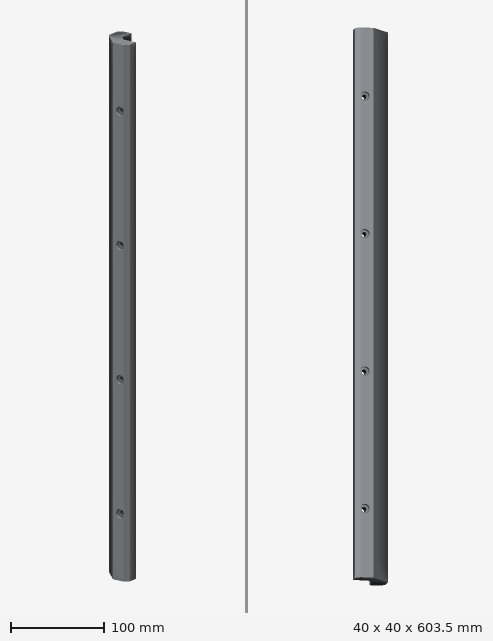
import cadquery as cq

length = 603.5
width = 40.0

arm_thickness = 16.0
outer_bevel = 20.5
edge_chamfer = 5.0
inner_chamfer = 6.5

hole_count = 4
hole_pitch = length / hole_count
hole_offset = 30.0
hole_diameter = 5.5
bore_diameter = 10.0
bore_depth = 3.5


def angle_bar():
    """Extrude the L section, which is symmetric about its X = Y diagonal."""
    inner_end = arm_thickness + inner_chamfer
    chamfer_start = width - edge_chamfer
    points = [
        (outer_bevel, 0),
        (chamfer_start, 0),
        (width, edge_chamfer),
        (width, arm_thickness),
        (inner_end, arm_thickness),
        (arm_thickness, inner_end),
        (arm_thickness, width),
        (edge_chamfer, width),
        (0, chamfer_start),
        (0, outer_bevel),
    ]
    return cq.Workplane("XY").polyline(points).close().extrude(length)


def screw_hole(center, direction):
    """Make the cutter for one hole, entering the arm from its outer face."""
    bore = cq.Solid.makeCylinder(bore_diameter / 2, bore_depth, center, direction)
    hole = cq.Solid.makeCylinder(hole_diameter / 2, arm_thickness, center, direction)
    return bore.fuse(hole)


result = angle_bar()
for index in range(hole_count):
    z = (index + 0.5) * hole_pitch
    result = result.cut(screw_hole(cq.Vector(hole_offset, 0, z), cq.Vector(0, 1, 0)))
    result = result.cut(screw_hole(cq.Vector(0, hole_offset, z), cq.Vector(1, 0, 0)))